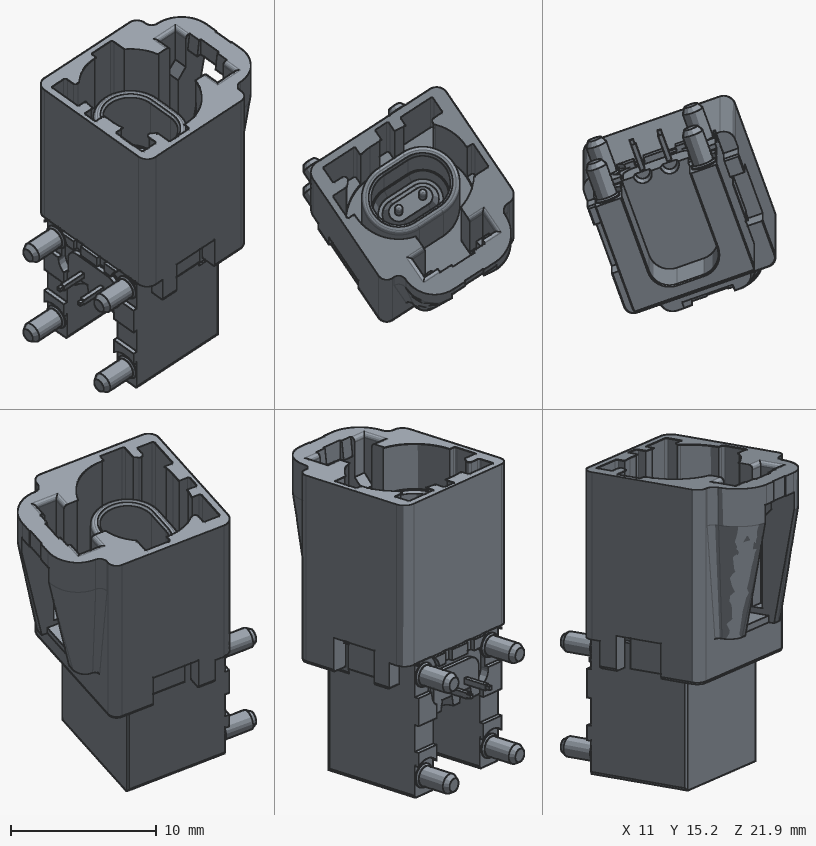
import cadquery as cq
import math

TOP = 21.9

HOUSING_HALF_X = 5.5
HOUSING_BACK = 4.97
HOUSING_FRONT = -4.66
HOUSING_BOTTOM = 8.02
BACK_RADIUS = 0.7
FRONT_RADIUS = 0.83
BOTTOM_CHAMFER_HEIGHT = 0.15
BOTTOM_CHAMFER_INSET = 0.07

HOOD_STRAIGHT_BOTTOM = 19.23
HOOD_BOTTOM = 10.9
HOOD_UPPER_OUTLINE = (4.1, 7.93, 0.57)
HOOD_LOWER_OUTLINE = (3.3, 6.3, 0.35)

CONTACT_X = 0.99
CAVITY_RADIUS = 3.61
CAVITY_FLOOR = 11.39
KEY_FLOOR = 11.83
RIM_CHAMFER = 0.09
KEY_CORNER = 0.18
CUSP_REACH_X = 3.61
CUSP_FRONT = -2.85
CUSP_BACK = -2.4
KEY_SLOTS = (
    (-5.1, -3.28, 0.07, 2.2),
    (3.28, 5.12, -2.17, -0.1),
    (-4.58, -1.77, -4.2, -2.74),
    (1.77, 4.58, -4.2, -2.74),
    (-1.1, 0.15, -4.42, -3.07),
)

LATCH_HALF_X = 1.85
LATCH_FLOOR_BACK = 5.87
LATCH_BACK = 6.26
LATCH_LIP_BACK = 6.44
BAR_HEIGHT = 1.42
BAR_DIMPLE_HALF_X = 0.77
BAR_DIMPLE_DEPTH = 0.07
NOTCH_HALF_X = 0.9
NOTCH_BACK = 6.6
POCKET_HALF_X = 2.9
POCKET_FRONT = 4.55
POCKET_BACK = 6.09
POCKET_ROUNDING = 0.3
POCKET_STEP_BACK = 5.35
POCKET_STEP_TOP = 18.99
POCKET_STEP_BOTTOM = 18.22

TUBE_TOP = 19.05
TUBE_RADIUS = 2.55
TUBE_ROUNDING = 0.26
TUBE_BORE = 1.88
TUBE_BORE_CHAMFER = 0.18
INSULATOR_TOP = 13.58
INSULATOR_RADIUS = 1.4
FUNNEL_RADIUS = 1.8
INSULATOR_CHAMFER_HEIGHT = 0.88
BOSS_RADIUS = 1.12
BOSS_TOP_RADIUS = 0.68
BOSS_HEIGHT = 0.88
CONTACT_RADIUS = 0.26
CONTACT_ROUNDING = 0.25
CONTACT_TOP = 15.77

BLOCK_HALF_X = 4.42
BLOCK_BACK = 3.22
BLOCK_FRONT = -4.58
BLOCK_EDGE = 0.18
BLOCK_EDGE_INSET = 0.07
RECESS_HALF_X = 2.47
RECESS_BACK = 2.4
RECESS_TOP = 5.56
RECESS_RADIUS = RECESS_HALF_X - CONTACT_X
RECESS_FLARE_HEIGHT = 0.2
RECESS_FLARE = 0.09

FRONT_WALL_BOTTOM = 9.96
FRONT_WALL_DEPTH = 1.5
WINDOW_FRONT = -1.85
WINDOW_BACK = 1.77
WINDOW_TOP = 10.53
RELIEF_FRONT = 1.34
RELIEF_DEPTH = 0.18
RELIEF_BOTTOM = 7.66
RELIEF_TOP = 9.81
TAB_FRONT = -1.35
TAB_HEIGHT = 0.05
SEAM_HEIGHT = 0.15
SEAM_DEPTH = 0.07

PAD_FACE = -4.9
POST_X = 3.5
POST_Z = (1.4, 8.87)
POST_CLEARANCE = 1.34
SIDE_PADS = (
    (RECESS_HALF_X, 1.75, 3.44),
    (RECESS_HALF_X, 5.4, 7.47),
    (1.51, 9.15, FRONT_WALL_BOTTOM),
)
MIDDLE_PAD_HALF_X = 0.8
MIDDLE_PAD_BOTTOM = 9.15
MOAT_HALF_X = 3.0
MOAT_BOTTOM = 6.25
MOAT_TOP = 9.15
MOAT_RADIUS = 1.1
MOAT_DEPTH = 0.33
PLUG_HALF_X = 2.39
PLUG_TOP = 8.55
PLUG_RADIUS = 0.92
CUP_TOP = 6.35
CUP_TOP_RADIUS = 0.5
CUP_BOTTOM_RADIUS = 0.65

POST_TIP = -7.31
POST_RADIUS = 0.72
POST_CHAMFER_RADIAL = 0.25
POST_CHAMFER_LENGTH = 0.4
POST_COLLAR_RADIUS = 0.88
POST_COLLAR_CHAMFER = 0.13
POST_COLLAR_END = -4.77
PIN_X_INNER = 0.8
PIN_X_OUTER = 1.14
PIN_TIP_INNER = 0.88
PIN_Z = 7.03
PIN_HEIGHT = 0.42
PIN_TIP_HEIGHT = 0.26
PIN_SHOULDER = -6.45
PIN_TIP = -6.79


def block(x0, x1, y0, y1, z0, z1):
    """Box between two opposite corners."""
    return cq.Workplane("XY").box(x1 - x0, y1 - y0, z1 - z0, centered=False).translate((x0, y0, z0))


def stadium(radius, z):
    """Stadium outline around both contact axes."""
    return cq.Workplane("XY").workplane(offset=z).slot2D(2 * (CONTACT_X + radius), 2 * radius)


def stadium_prism(radius, z0, z1):
    return stadium(radius, z0).extrude(z1 - z0)


def stadium_taper(radius0, z0, radius1, z1):
    """Stadium prism whose radius changes from radius0 at z0 to radius1 at z1."""
    angle = math.degrees(math.atan2(radius0 - radius1, z1 - z0))
    return stadium(radius0, z0).extrude(z1 - z0, taper=angle)


def both_sides(solid):
    """The solid together with its mirror image across the mid-plane X = 0."""
    return solid.union(solid.mirror("YZ"))


def hood_outline(z, half_width, back, blend):
    """Hood outline: concave blends out of the housing, tangent to two large back corners."""
    blend_end = HOUSING_BACK + blend
    radius = back - blend_end
    return (
        cq.Workplane("XY").workplane(offset=z)
        .moveTo(-half_width - blend, HOUSING_FRONT / 2)
        .lineTo(half_width + blend, HOUSING_FRONT / 2)
        .lineTo(half_width + blend, HOUSING_BACK)
        .radiusArc((half_width, blend_end), blend)
        .radiusArc((half_width - radius, back), -radius)
        .lineTo(radius - half_width, back)
        .radiusArc((-half_width, blend_end), -radius)
        .radiusArc((-half_width - blend, HOUSING_BACK), blend)
        .close()
    )


def make_hood():
    upper = hood_outline(HOOD_STRAIGHT_BOTTOM, *HOOD_UPPER_OUTLINE)
    lower = hood_outline(HOOD_BOTTOM, *HOOD_LOWER_OUTLINE)
    straight = upper.extrude(TOP - HOOD_STRAIGHT_BOTTOM)
    sections = [lower.wires().val(), upper.wires().val()]
    return straight.union(cq.Workplane(cq.Solid.makeLoft(sections, True)))


def make_housing():
    shell = block(-HOUSING_HALF_X, HOUSING_HALF_X, HOUSING_FRONT, HOUSING_BACK, HOUSING_BOTTOM, TOP)
    shell = shell.edges("|Z and >Y").fillet(BACK_RADIUS).edges("|Z and <Y").fillet(FRONT_RADIUS)
    front_opening = block(
        -HOUSING_HALF_X, HOUSING_HALF_X,
        HOUSING_FRONT, HOUSING_FRONT + FRONT_WALL_DEPTH,
        HOUSING_BOTTOM, FRONT_WALL_BOTTOM,
    )
    window = block(
        BLOCK_HALF_X, HOUSING_HALF_X, WINDOW_FRONT, WINDOW_BACK, HOUSING_BOTTOM, WINDOW_TOP
    )
    tab = block(
        BLOCK_HALF_X, BLOCK_HALF_X + TAB_HEIGHT,
        TAB_FRONT, RELIEF_FRONT, HOUSING_BOTTOM, WINDOW_TOP,
    )
    shell = shell.cut(front_opening)
    shell = shell.faces("<Z").edges().chamfer(BOTTOM_CHAMFER_HEIGHT, BOTTOM_CHAMFER_INSET)
    return shell.cut(both_sides(window)).union(both_sides(tab)).union(make_hood())


def make_socket_cavity():
    cavity = stadium_prism(CAVITY_RADIUS, KEY_FLOOR, TOP)
    for x0, x1, y0, y1 in KEY_SLOTS:
        slot = block(x0, x1, y0, y1, KEY_FLOOR, TOP).edges("|Z").fillet(KEY_CORNER)
        cavity = cavity.union(slot)
    cusps = cq.selectors.BoxSelector(
        (-CUSP_REACH_X, CUSP_FRONT, KEY_FLOOR), (CUSP_REACH_X, CUSP_BACK, TOP)
    )
    cavity = cavity.edges("|Z").edges(cusps).fillet(KEY_CORNER)
    cavity = cavity.faces(">Z").chamfer(RIM_CHAMFER)
    return cavity.union(stadium_prism(CAVITY_RADIUS, CAVITY_FLOOR, KEY_FLOOR))


def make_latch_pocket():
    """Wide pocket behind the cavity, narrowed by a sloped step in its back wall."""
    half = POCKET_HALF_X
    return (
        cq.Workplane("YZ").workplane(offset=-half)
        .polyline([
            (POCKET_FRONT, KEY_FLOOR),
            (POCKET_STEP_BACK, KEY_FLOOR),
            (POCKET_STEP_BACK, POCKET_STEP_BOTTOM),
            (POCKET_BACK, POCKET_STEP_TOP),
            (POCKET_BACK, TOP),
            (POCKET_FRONT, TOP),
        ])
        .close()
        .extrude(2 * half)
    )


def round_pocket_mouth(housing):
    half = POCKET_HALF_X + POCKET_ROUNDING
    mouth = cq.selectors.BoxSelector(
        (-half, POCKET_FRONT - POCKET_ROUNDING, TOP - POCKET_ROUNDING),
        (half, POCKET_BACK + POCKET_ROUNDING, TOP + POCKET_ROUNDING),
    )
    return housing.faces(">Z").edges(mouth).fillet(POCKET_ROUNDING)


def make_latch_opening():
    half = LATCH_HALF_X
    channel = block(-half, half, 0, LATCH_FLOOR_BACK, CAVITY_FLOOR, TOP)
    hood_back = HOOD_UPPER_OUTLINE[1]
    bar_bottom = TOP - BAR_HEIGHT
    slot = (
        cq.Workplane("YZ").workplane(offset=-half)
        .polyline([
            (LATCH_FLOOR_BACK, HOOD_BOTTOM),
            (hood_back, HOOD_BOTTOM),
            (hood_back, bar_bottom),
            (LATCH_BACK, bar_bottom),
            (LATCH_LIP_BACK, TOP),
            (LATCH_FLOOR_BACK, TOP),
        ])
        .close()
        .extrude(2 * half)
    )
    notch = block(-NOTCH_HALF_X, NOTCH_HALF_X, LATCH_FLOOR_BACK, NOTCH_BACK, bar_bottom, TOP)
    dimple = block(
        -BAR_DIMPLE_HALF_X, BAR_DIMPLE_HALF_X,
        hood_back - BAR_DIMPLE_DEPTH, hood_back, bar_bottom, TOP,
    )
    return channel.union(slot).union(notch).union(dimple)


def make_shield_tube():
    tube = stadium_prism(TUBE_RADIUS, CAVITY_FLOOR, TUBE_TOP).faces(">Z").fillet(TUBE_ROUNDING)
    bore = stadium_prism(TUBE_BORE, CAVITY_FLOOR, TUBE_TOP)
    bore = bore.union(stadium_taper(
        TUBE_BORE, TUBE_TOP - TUBE_BORE_CHAMFER, TUBE_BORE + TUBE_BORE_CHAMFER, TUBE_TOP
    ))
    return tube.cut(bore)


def make_insulator():
    lower = stadium_prism(TUBE_BORE, CAVITY_FLOOR, INSULATOR_TOP)
    funnel = stadium_prism(TUBE_BORE, INSULATOR_TOP, INSULATOR_TOP + INSULATOR_CHAMFER_HEIGHT)
    funnel = funnel.cut(stadium_taper(
        INSULATOR_RADIUS, INSULATOR_TOP, FUNNEL_RADIUS, INSULATOR_TOP + INSULATOR_CHAMFER_HEIGHT
    ))
    boss = stadium_taper(BOSS_RADIUS, INSULATOR_TOP, BOSS_TOP_RADIUS, INSULATOR_TOP + BOSS_HEIGHT)
    contacts = (
        cq.Workplane("XY").workplane(offset=CAVITY_FLOOR)
        .pushPoints([(-CONTACT_X, 0), (CONTACT_X, 0)])
        .circle(CONTACT_RADIUS)
        .extrude(CONTACT_TOP - CAVITY_FLOOR)
        .faces(">Z").fillet(CONTACT_ROUNDING)
    )
    return lower.union(funnel).union(boss).union(contacts)


def make_leg_block():
    half = BLOCK_HALF_X
    inset = half - BLOCK_EDGE_INSET
    plan = [
        (-half, BLOCK_FRONT), (half, BLOCK_FRONT),
        (half, BLOCK_BACK - BLOCK_EDGE), (inset, BLOCK_BACK),
        (-inset, BLOCK_BACK), (-half, BLOCK_BACK - BLOCK_EDGE),
    ]
    legs = cq.Workplane("XY").polyline(plan).close().extrude(WINDOW_TOP)
    bevel = side_wedge(BLOCK_FRONT, BLOCK_BACK, 0, BLOCK_EDGE, BLOCK_EDGE_INSET)
    return legs.cut(both_sides(bevel))


def side_wedge(y0, y1, z_deep, z_flush, depth):
    """Triangular cutter along the block's +X side, deepest at z_deep and running out at z_flush."""
    half = BLOCK_HALF_X
    profile = cq.Workplane("XZ", origin=(0, y1, 0))
    return (
        profile.polyline([(half, z_flush), (half - depth, z_deep), (half, z_deep)])
        .close()
        .extrude(y1 - y0)
    )


def make_side_reliefs():
    """Cuts along the joint between the housing and the leg block."""
    inset = BLOCK_HALF_X - RELIEF_DEPTH
    groove = block(inset, BLOCK_HALF_X, RELIEF_FRONT, BLOCK_BACK, RELIEF_BOTTOM, HOUSING_BOTTOM)
    corner = block(inset, BLOCK_HALF_X, RELIEF_FRONT, WINDOW_BACK, RELIEF_BOTTOM, RELIEF_TOP)
    seam_bottom = FRONT_WALL_BOTTOM - SEAM_HEIGHT
    seams = [
        side_wedge(y0, y1, FRONT_WALL_BOTTOM, seam_bottom, SEAM_DEPTH)
        for y0, y1 in (
            (BLOCK_FRONT, HOUSING_FRONT + FRONT_WALL_DEPTH),
            (WINDOW_FRONT, TAB_FRONT),
            (RELIEF_FRONT, WINDOW_BACK),
        )
    ]
    reliefs = groove.union(corner)
    for seam in seams:
        reliefs = reliefs.union(seam)
    return both_sides(reliefs)


def make_recess():
    recess = block(-RECESS_HALF_X, RECESS_HALF_X, PAD_FACE, RECESS_BACK, 0, RECESS_TOP)
    recess = recess.edges("|Z and >Y").fillet(RECESS_RADIUS)
    mouth = recess.faces("<Z").wires().val().offset2D(RECESS_FLARE)[0]
    throat = recess.faces("<Z").wires().val().moved(cq.Location(cq.Vector(0, 0, RECESS_FLARE_HEIGHT)))
    return recess.union(cq.Workplane(cq.Solid.makeLoft([mouth, throat], True)))


def make_pads():
    pads = block(
        -MIDDLE_PAD_HALF_X, MIDDLE_PAD_HALF_X,
        PAD_FACE, BLOCK_FRONT, MIDDLE_PAD_BOTTOM, FRONT_WALL_BOTTOM,
    )
    for x0, z0, z1 in SIDE_PADS:
        pads = pads.union(both_sides(block(x0, BLOCK_HALF_X, PAD_FACE, BLOCK_FRONT, z0, z1)))
    return pads.cut(on_posts(POST_CLEARANCE, BLOCK_FRONT, PAD_FACE))


def make_moat():
    """Groove around the terminal plug, cut into the board side and the pads beside it."""
    floor = BLOCK_FRONT + MOAT_DEPTH
    moat = block(-MOAT_HALF_X, MOAT_HALF_X, PAD_FACE, floor, MOAT_BOTTOM, MOAT_TOP)
    plug = block(-PLUG_HALF_X, PLUG_HALF_X, BLOCK_FRONT, floor, RECESS_TOP, PLUG_TOP)
    plug = plug.edges("|Y and >Z").fillet(PLUG_RADIUS)
    return moat.edges("|Y").fillet(MOAT_RADIUS).cut(plug)


def make_cups():
    """Conical hollows above the recess that break through the plug's face."""
    cup = cq.Solid.makeCone(CUP_BOTTOM_RADIUS, CUP_TOP_RADIUS, CUP_TOP - RECESS_TOP)
    return both_sides(cq.Workplane(cup.translate(cq.Vector(CONTACT_X, BLOCK_FRONT, RECESS_TOP))))


def on_posts(radius, y_start, y_end):
    """Cylinders on the four post axes, running from y_start toward -Y."""
    centers = [(x, z) for x in (-POST_X, POST_X) for z in POST_Z]
    plane = cq.Workplane("XZ", origin=(0, y_start, 0))
    return plane.pushPoints(centers).circle(radius).extrude(y_start - y_end)


def make_posts():
    posts = on_posts(POST_RADIUS, BLOCK_FRONT, POST_TIP)
    posts = posts.faces("<Y").chamfer(POST_CHAMFER_LENGTH, POST_CHAMFER_RADIAL)
    collars = on_posts(POST_COLLAR_RADIUS, BLOCK_FRONT, POST_COLLAR_END)
    collars = collars.faces("<Y").chamfer(POST_COLLAR_CHAMFER)
    return posts.union(collars)


def make_pins():
    low = PIN_Z - PIN_HEIGHT / 2
    tip_low = PIN_Z - PIN_TIP_HEIGHT / 2
    shank = block(PIN_X_INNER, PIN_X_OUTER, PIN_SHOULDER, BLOCK_FRONT, low, low + PIN_HEIGHT)
    tip = block(
        PIN_TIP_INNER, PIN_X_OUTER, PIN_TIP, BLOCK_FRONT, tip_low, tip_low + PIN_TIP_HEIGHT
    )
    return both_sides(shank.union(tip))


result = (
    round_pocket_mouth(make_housing().cut(make_latch_pocket()))
    .cut(make_socket_cavity())
    .cut(make_latch_opening())
    .union(make_shield_tube())
    .union(make_insulator())
    .union(make_leg_block())
    .cut(make_side_reliefs())
    .union(make_pads())
    .cut(make_moat())
    .cut(make_recess())
    .cut(make_cups())
    .union(make_posts())
    .union(make_pins())
)